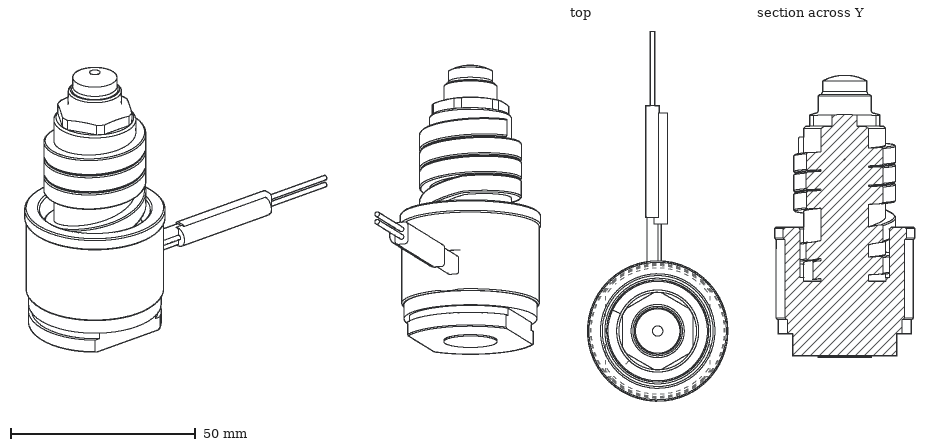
import cadquery as cq
import math

pad_radius = 7.2
pad_height = 0.4
flange_radius = 18.0
flange_top = 4.2
flange_chamfer = 0.3
neck_radius = 17.1
neck_top = 6.3
skirt_top = 10.2
body_radius = 18.6
body_chamfer = 0.4
collar_radius = 19.0
collar_bottom = 32.2
collar_top = 35.2
collar_chamfer = collar_radius - body_radius
wrench_flat_offset = 14.1

entry_flat_offset = 18.3
entry_flat_top = 21.4

stem_radius = 11.1
stem_top = 62.5
stem_chamfer = 0.6
hex_across_flats = 19.0
hex_corner_radius = 10.4
hex_top = 65.3
cone_top = 66.0
cone_top_radius = 7.9
shank_radius = 7.2
shank_top = 71.1
shank_chamfer = 0.5
shoulder_radius = 6.3
tip_radius = 6.0
tip_shoulder_top = 71.9
tip_edge = 74.7
overall_height = 76.2
dimple_radius = 1.4
dimple_depth = 2.4

coil_radius = 13.8
coil_height = 4.9
coil_chamfer = 0.35
coil_overlap = 0.5
tight_pitch = 5.2
open_pitch = 18.5
coil_end_angle = 155.0
coil_end_top = 59.6
open_end_angle = 100.0
upper_turns = 3 + (coil_end_angle - open_end_angle) / 360
open_turns = 0.65
lower_turns = 1
open_start_angle = open_end_angle - 360 * open_turns
open_end_height = coil_end_top - coil_height - upper_turns * tight_pitch
open_start_height = open_end_height - open_turns * open_pitch
coil_bottom = open_start_height - lower_turns * tight_pitch

pocket_radius = 15.0
pocket_chamfer = 0.5
seat_radius = 14.3
seat_depth = 1.0
coil_floor_gap = 0.5
pocket_floor = coil_bottom - coil_floor_gap

cable_x = -1.4
cable_z = 17.3
cable_root = 16.5
sheath_width = 3.1
sheath_height = 5.0
sheath_fillet = 0.6
sleeve_start = 30.7
sleeve_end = 60.9
sleeve_width = 3.7
sleeve_height = 6.1
sleeve_fillet = 0.95
ferrule_x = 0.0
ferrule_radius = 2.7
ferrule_start = 28.9
ferrule_end = 59.0
wire_radius = 0.67
wire_spacing = 2.1
overall_length = 100.0
wire_end = overall_length - collar_radius
core_x = 0.3


def make_body():
    """Turned body with pocket, wrench flats and cable entry flat."""
    collar_edge = collar_radius - collar_chamfer
    outline = [
        (0, 0),
        (pad_radius, 0),
        (pad_radius, pad_height),
        (flange_radius - flange_chamfer, pad_height),
        (flange_radius, pad_height + flange_chamfer),
        (flange_radius, flange_top),
        (neck_radius, flange_top),
        (neck_radius, neck_top),
        (flange_radius, neck_top),
        (flange_radius, skirt_top),
        (body_radius - body_chamfer, skirt_top),
        (body_radius, skirt_top + body_chamfer),
        (body_radius, collar_bottom - collar_chamfer),
        (collar_radius, collar_bottom),
        (collar_radius, collar_top - collar_chamfer),
        (collar_edge, collar_top),
        (pocket_radius + pocket_chamfer, collar_top),
        (pocket_radius, collar_top - pocket_chamfer),
        (pocket_radius, pocket_floor + seat_depth),
        (seat_radius, pocket_floor + seat_depth),
        (seat_radius, pocket_floor),
        (0, pocket_floor),
    ]
    body = cq.Workplane("XZ").polyline(outline).close().revolve(360, (0, 0), (0, 1))

    flat_depth = collar_radius
    for side in (-1, 1):
        body = body.cut(
            cq.Workplane("XY")
            .center(side * (wrench_flat_offset + flat_depth / 2), 0)
            .rect(flat_depth, 2 * collar_radius)
            .extrude(neck_top)
        )
    entry_flat = (
        cq.Workplane("XY", origin=(0, entry_flat_offset + flat_depth / 2, skirt_top))
        .rect(2 * collar_radius, flat_depth)
        .extrude(entry_flat_top - skirt_top)
    )
    return body.cut(entry_flat)


def make_stem():
    """Stem with hexagon, stepped shank and domed, dimpled tip."""
    neck_fillet = cone_top_radius - shank_radius
    dome_centre = (
        (dimple_radius**2 - tip_radius**2 + overall_height**2 - tip_edge**2)
        / (2 * (overall_height - tip_edge))
    )
    dome_radius = math.hypot(tip_radius, tip_edge - dome_centre)
    lower = (
        cq.Workplane("XY", origin=(0, 0, pocket_floor))
        .circle(stem_radius)
        .extrude(stem_top - pocket_floor)
        .faces(">Z")
        .chamfer(stem_chamfer)
    )
    upper = (
        cq.Workplane("XZ")
        .moveTo(0, stem_top)
        .lineTo(hex_corner_radius, stem_top)
        .lineTo(hex_corner_radius, hex_top)
        .lineTo(cone_top_radius, cone_top)
        .radiusArc((shank_radius, cone_top + neck_fillet), neck_fillet)
        .lineTo(shank_radius, shank_top - shank_chamfer)
        .lineTo(shank_radius - shank_chamfer, shank_top)
        .lineTo(shoulder_radius, shank_top)
        .lineTo(tip_radius, tip_shoulder_top)
        .lineTo(tip_radius, tip_edge)
        .radiusArc((dimple_radius, overall_height), -dome_radius)
        .lineTo(0, overall_height - dimple_depth)
        .close()
        .revolve(360, (0, 0), (0, 1))
    )
    hexagon = (
        cq.Workplane("XY", origin=(0, 0, stem_top))
        .polygon(6, hex_across_flats, circumscribed=True)
        .extrude(overall_height - stem_top)
    )
    return lower.union(upper.intersect(hexagon))


def make_coil(pitch, turns, start_angle, start_height):
    """Helical strip rising counterclockwise, its inner edge sunk into the stem."""
    path = cq.Wire.makeHelix(pitch, pitch * turns, stem_radius)
    inner = stem_radius - coil_overlap
    section = [
        (inner, 0),
        (coil_radius - coil_chamfer, 0),
        (coil_radius, coil_chamfer),
        (coil_radius, coil_height - coil_chamfer),
        (coil_radius - coil_chamfer, coil_height),
        (inner, coil_height),
    ]
    return (
        cq.Workplane("XZ")
        .polyline(section)
        .close()
        .sweep(path, isFrenet=True)
        .rotate((0, 0, 0), (0, 0, 1), start_angle)
        .translate((0, 0, start_height))
    )


def rounded_bar(width, height, fillet, start, end):
    """Bar along Y, centred on the cable, with its long edges rounded."""
    return (
        cq.Workplane("XZ", origin=(cable_x, start, cable_z))
        .rect(width, height)
        .extrude(start - end)
        .edges("|Y")
        .fillet(fillet)
    )


def rod(x, z, radius, start, end):
    """Round rod along Y."""
    return cq.Workplane("XZ", origin=(x, start, z)).circle(radius).extrude(start - end)


def make_cable():
    """Sheath, core wire, ferrule, sleeve and two lead wires."""
    sleeve = rounded_bar(sleeve_width, sleeve_height, sleeve_fillet, sleeve_start, sleeve_end)
    sheath = rounded_bar(sheath_width, sheath_height, sheath_fillet, cable_root, sleeve_start)
    cable = sleeve.union(sheath)
    cable = cable.union(rod(ferrule_x, cable_z, ferrule_radius, ferrule_start, ferrule_end))
    cable = cable.union(rod(core_x, cable_z, wire_radius, cable_root, ferrule_start))
    for side in (-1, 1):
        wire_z = cable_z + side * wire_spacing / 2
        cable = cable.union(rod(cable_x, wire_z, wire_radius, sleeve_end, wire_end))
    return cable


upper_coil = make_coil(tight_pitch, upper_turns, open_end_angle, open_end_height)
open_coil = make_coil(open_pitch, open_turns, open_start_angle, open_start_height)
lower_coil = make_coil(tight_pitch, lower_turns, open_start_angle, coil_bottom)

result = make_body().union(make_stem())
for coil in (upper_coil, open_coil, lower_coil):
    result = result.union(coil)
result = result.union(make_cable())